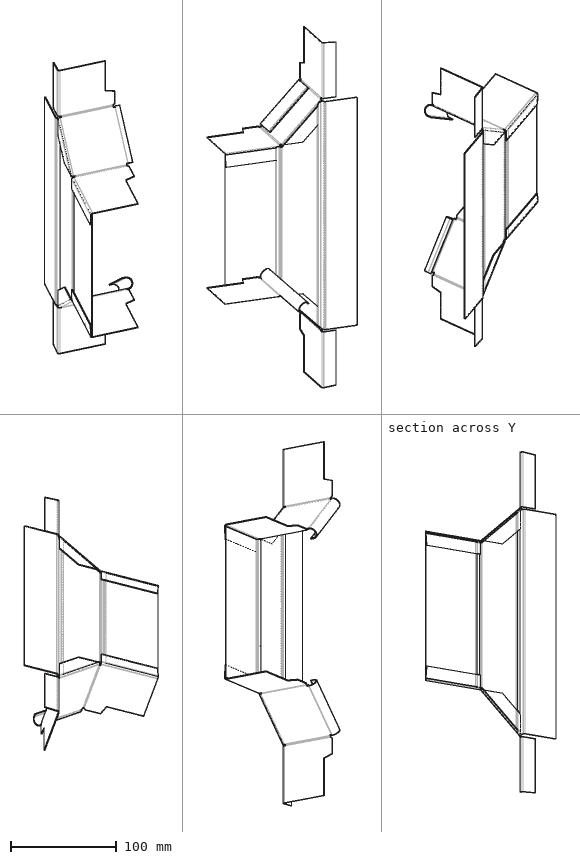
import cadquery as cq
import math


sheet = 1.0
inner_bend = 1.2
outer_bend = inner_bend + sheet

length_x = 133.5
depth_y = 64.45
height_z = 349.2
end_z = height_z / 2

wall_x = 35.6
mirror_offset = end_z - length_x
wall_z = wall_x + mirror_offset
slope_sum = 153.2
flange_front = 1.6
flange_back = flange_front + sheet
flange_width = 14.65
flange_end_taper = 1.0
slope_flange_width = 15.6
bend_top = flange_front + outer_bend
relief_depth_front = 1.3
relief_depth_back = 1.6
relief_lead = 1.5
shoulder_x = 93.8
step_x = 96.7
step_y = 49.05

curl_radius = 6.0
curl_y = depth_y - curl_radius
curl_leg = 3.0
curl_end_x = 75.2

strip_half = 115.4
strip_corner = 1.0
strip_bend_x = 32.1
recess_y = flange_back
plate_inner_bend = 1.0
plate_outer_bend = plate_inner_bend + sheet
groove_back = 5.95
groove_angle = 60.0
second_groove_x = 75.6
edge_gap = inner_bend

SQRT2 = math.sqrt(2)
fold_x = slope_sum - wall_z
fold_z = slope_sum - wall_x
fold_setback = inner_bend * math.tan(math.pi / 8)
arm_start_x = fold_x + fold_setback
slope_end_x = fold_x - fold_setback / SQRT2
slope_start_x = wall_x + fold_setback / SQRT2


def prism_along_y(points, y_low, y_high):
    """Straight-sided outline in the XZ plane, extruded along Y."""
    plane = cq.Workplane("XZ", origin=(0, y_low, 0))
    return plane.polyline(points).close().extrude(y_low - y_high)


def across_fold_plane(shape):
    """Mirror image about the bracket's own plane of symmetry."""
    plane_point = cq.Vector(0, 0, mirror_offset)
    plane_normal = cq.Vector(1, 0, -1)
    return cq.Workplane(shape.val().mirror(plane_normal, plane_point))


def folded_wall():
    """Upright, sloped and level panels as one sheet with rounded folds."""
    inner_x = wall_x - sheet
    inner_z = wall_z - sheet
    inner_sum = slope_sum - sheet * SQRT2
    near_folds = [(wall_x, fold_z), (fold_x, wall_z)]
    far_folds = [(inner_x, inner_sum - inner_x), (inner_sum - inner_z, inner_z)]
    outline = [
        (wall_x, end_z), *near_folds, (length_x, wall_z),
        (length_x, inner_z), *reversed(far_folds), (inner_x, end_z),
    ]
    wall = prism_along_y(outline, bend_top, curl_y)
    middle_y = (bend_top + curl_y) / 2
    for folds, radius in ((near_folds, inner_bend), (far_folds, outer_bend)):
        for x, z in folds:
            edge = cq.selectors.NearestToPointSelector((x, middle_y, z))
            wall = wall.edges(edge).fillet(radius)
    return wall


def arm_cutout():
    """Material removed from the level panel: the stepped back edge and the fold reliefs."""
    cut_reach = 2 * sheet
    plane = cq.Workplane("XY", origin=(0, 0, wall_z - cut_reach))
    margin = 1.0
    beyond_x = length_x + margin
    beyond_y = curl_y + margin
    lean = (step_x - shoulder_x) / (curl_y - step_y)
    step = (
        plane.moveTo(shoulder_x - lean * margin, beyond_y)
        .lineTo(step_x, step_y)
        .lineTo(beyond_x, step_y)
        .lineTo(beyond_x, beyond_y)
        .close()
        .extrude(2 * cut_reach)
    )
    back_relief = (
        plane.moveTo(curl_end_x, curl_y)
        .lineTo(curl_end_x, curl_y - relief_depth_back)
        .lineTo(arm_start_x, curl_y - relief_depth_back)
        .lineTo(arm_start_x + relief_lead, curl_y)
        .close()
        .extrude(2 * cut_reach)
    )
    front_relief = (
        plane.moveTo(slope_end_x, bend_top)
        .rect(arm_start_x - slope_end_x, relief_depth_front, centered=False)
        .extrude(2 * cut_reach)
    )
    return step.union(back_relief).union(front_relief)


def bend_section(plane):
    """Quarter ring joining a panel to its flange; local x points out of the panel, local y along Y."""
    diagonal = math.sqrt(0.5)
    center_y = bend_top
    return (
        plane.moveTo(0, center_y)
        .threePointArc(
            (-outer_bend + outer_bend * diagonal, center_y - outer_bend * diagonal),
            (-outer_bend, flange_front),
        )
        .lineTo(-outer_bend, flange_back)
        .threePointArc(
            (-outer_bend + inner_bend * diagonal, center_y - inner_bend * diagonal),
            (-sheet, center_y),
        )
        .close()
    )


def arm_flange():
    """Flange and bend along the front edge of the level panel."""
    inner_edge = wall_z - flange_width
    root = wall_z - outer_bend
    outline = [
        (arm_start_x, root), (length_x, root),
        (length_x - flange_end_taper, inner_edge), (arm_start_x, inner_edge),
    ]
    flange = prism_along_y(outline, flange_front, flange_back)
    plane = cq.Workplane(
        cq.Plane(origin=(arm_start_x, 0, wall_z), xDir=(0, 0, 1), normal=(-1, 0, 0))
    )
    bend = bend_section(plane).extrude(-(length_x - arm_start_x))
    return flange.union(bend)


def slope_plane():
    """Section plane at the upper end of the sloped panel; local x points out of the panel."""
    origin = (slope_start_x, 0, slope_sum - slope_start_x)
    return cq.Workplane(cq.Plane(origin=origin, xDir=(1, 0, 1), normal=(-1, 0, 1)))


def slope_flange():
    """Flange and bend along the front edge of the sloped panel."""
    root_sum = slope_sum - outer_bend * SQRT2
    inner_sum = slope_sum - slope_flange_width * SQRT2
    outline = [
        (wall_x, root_sum - wall_x), (root_sum - wall_z, wall_z),
        (inner_sum - wall_z, wall_z), (wall_x, inner_sum - wall_x),
    ]
    flange = prism_along_y(outline, flange_front, flange_back)
    bend_length = (slope_end_x - slope_start_x) * SQRT2
    bend = bend_section(slope_plane()).extrude(-bend_length)
    return flange.union(bend)


def curl():
    """Half-round rolled edge along the back of the sloped panel, ending in a short straight leg."""
    inner_radius = curl_radius - sheet
    far_outer = -2 * curl_radius
    far_inner = far_outer + sheet
    leg_end = curl_y - curl_leg
    section = (
        slope_plane()
        .moveTo(0, curl_y)
        .threePointArc((-curl_radius, depth_y), (far_outer, curl_y))
        .lineTo(far_outer, leg_end)
        .lineTo(far_inner, leg_end)
        .lineTo(far_inner, curl_y)
        .threePointArc((-curl_radius, curl_y + inner_radius), (-sheet, curl_y))
        .close()
    )
    return section.extrude(-(curl_end_x - slope_start_x) * SQRT2)


def make_bracket(side):
    """Bracket as one solid; side is +1 for the upper one and -1 for its mirror image below."""
    cutout = arm_cutout()
    flange = arm_flange()
    bracket = folded_wall().cut(cutout).cut(across_fold_plane(cutout))
    for piece in (flange, across_fold_plane(flange), slope_flange(), curl()):
        bracket = bracket.union(piece)
    return bracket if side > 0 else bracket.mirror("XY")


def add_arc(path, center, radius, start, end):
    """Extend the path by a line to an arc and the arc itself; directions turn from -Y towards +X."""

    def spot(direction):
        return (center[0] + radius * math.sin(direction), center[1] - radius * math.cos(direction))

    return path.lineTo(*spot(start)).threePointArc(spot((start + end) / 2), spot(end))


def bent_sheet():
    """Strip, two grooves and the recessed plate as one bent sheet, extruded along Z."""
    angle = math.radians(groove_angle)
    valley_front = groove_back - sheet
    bends = plate_inner_bend + plate_outer_bend

    def ramp_run(level):
        """X distance from a face at this level, down one ramp, to the bottom of the groove."""
        straight_drop = valley_front - level - bends * (1 - math.cos(angle))
        return bends * math.sin(angle) + straight_drop / math.tan(angle)

    sheet_bends = []
    for start_x, start_level in ((strip_bend_x, 0), (second_groove_x, recess_y)):
        valley_x = start_x + ramp_run(start_level)
        end_x = valley_x + ramp_run(recess_y)
        valley_y = valley_front - plate_inner_bend
        sheet_bends += [
            (start_x, start_level + plate_outer_bend, plate_outer_bend, 0, angle),
            (valley_x, valley_y, plate_inner_bend, math.pi + angle, math.pi - angle),
            (end_x, recess_y + plate_outer_bend, plate_outer_bend, -angle, 0),
        ]

    path = cq.Workplane("XY", origin=(0, 0, -strip_half)).moveTo(0, 0)
    for x, y, radius, start, end in sheet_bends:
        path = add_arc(path, (x, y), radius, start, end)
    path = path.lineTo(length_x, recess_y).lineTo(length_x, recess_y + sheet)
    for x, y, front_radius, start, end in reversed(sheet_bends):
        back_radius = bends - front_radius
        path = add_arc(path, (x, y), back_radius, end, start)
    return path.lineTo(0, sheet).close().extrude(2 * strip_half)


def make_plate():
    """Bent sheet trimmed so that it narrows along the sloped panels."""
    sheet_body = bent_sheet()
    half_narrow = wall_z - sheet - edge_gap
    edge_sum = slope_sum - (sheet + edge_gap) * SQRT2
    upper = [
        (0, strip_half), (edge_sum - strip_half, strip_half),
        (edge_sum - half_narrow, half_narrow), (length_x, half_narrow),
    ]
    lower = [(x, -z) for x, z in reversed(upper)]
    blank = prism_along_y(upper + lower, 0, groove_back)
    blank = blank.edges("|Y").edges("<X").fillet(strip_corner)
    return sheet_body.intersect(blank)


plate = make_plate()
brackets = [make_bracket(side) for side in (1, -1)]

result = cq.Compound.makeCompound([plate.val(), *[bracket.val() for bracket in brackets]])